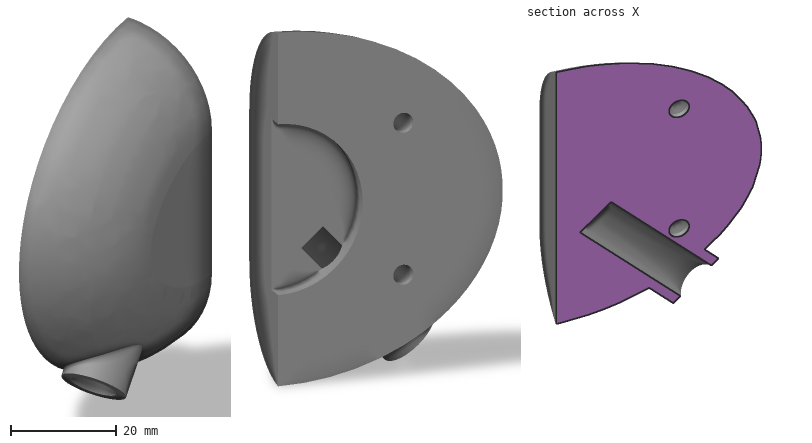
import cadquery as cq
import math

depth = 18.0
half_width = 44.9
half_height = 34.9
rim_radius = 19.95

overhang = rim_radius - depth
rim_inset = rim_radius - math.sqrt(rim_radius**2 - overhang**2)

recess_radius = 16.9
recess_depth = 4.05

hole_diameter = 4.0
hole_y = -25.0
hole_spacing = 30.0
hole_depth = 10.0
drill_point_angle = 118.0

spout_diameter = 13.0
bore_diameter = 9.0
spout_axis_x = 7.5
spout_angle = 47.3
bore_length = 30.0
spout_length = 13.95
bore_start_y = -8.1
bore_start_z = -7.2


def make_body():
    """Elliptical dome with a rounded rim, trimmed to its lower-Y half."""
    dome = (
        cq.Workplane("YZ")
        .workplane(offset=-2 * overhang)
        .ellipse(half_width + rim_inset, half_height + rim_inset)
        .extrude(depth + 2 * overhang)
        .faces(">X")
        .edges()
        .fillet(rim_radius)
    )
    keep = cq.Workplane("XY").box(
        depth, 2 * half_width, 3 * half_height, centered=(False, False, True)
    ).translate((0, -2 * half_width, 0))
    return dome.intersect(keep)


def along_spout(diameter, start, length):
    """Cylinder on the spout axis, starting a given distance from the bore's inner end."""
    angle = math.radians(spout_angle)
    direction = cq.Vector(0, -math.cos(angle), -math.sin(angle))
    origin = cq.Vector(spout_axis_x, bore_start_y, bore_start_z) + direction * start
    return cq.Workplane(cq.Solid.makeCylinder(diameter / 2, length, origin, direction))


def make_mounting_hole(z):
    """Drilled hole going in +X from the back face."""
    radius = hole_diameter / 2
    point_length = radius / math.tan(math.radians(drill_point_angle / 2))
    return (
        cq.Workplane("XY")
        .polyline([(0, 0), (0, radius), (hole_depth, radius), (hole_depth + point_length, 0)])
        .close()
        .revolve(360, (0, 0), (1, 0))
        .translate((0, hole_y, z))
    )


result = make_body()
result = result.union(along_spout(spout_diameter, bore_length - spout_length, spout_length))
result = result.cut(along_spout(bore_diameter, 0, bore_length))
result = result.cut(cq.Workplane("YZ").circle(recess_radius).extrude(recess_depth))
for hole_z in (-hole_spacing / 2, hole_spacing / 2):
    result = result.cut(make_mounting_hole(hole_z))